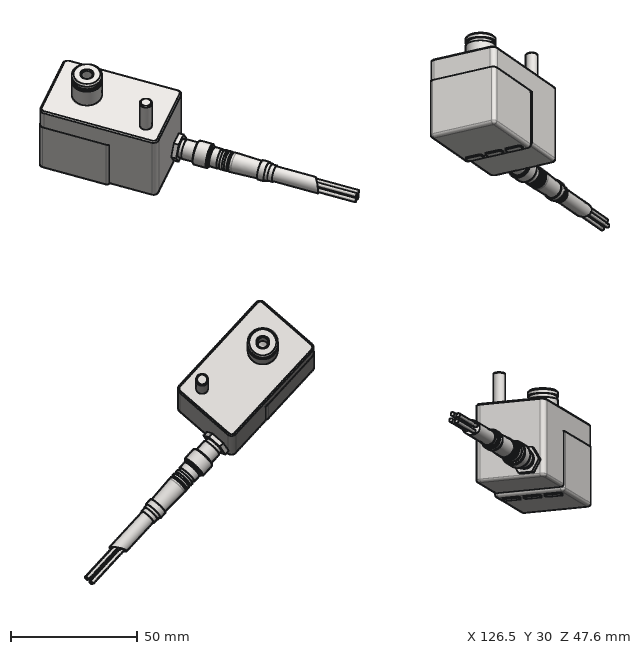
import cadquery as cq
import math


housing_length = 50.0
housing_width = 30.0
housing_top = 33.5
housing_bottom = 1.5
housing_corner_radius = 2.2
housing_top_edge = 0.6
housing_bottom_edge = 1.1

block_length = 29.9
block_top = 24.4
block_corner_radius = 1.5
block_bottom_edge = 1.4

pad_length = 3.0
pad_width = 7.1
pad_height = 0.6
pad_corner_radius = 0.5
pad_pitch = 9.0
pad_x = 26.0
pad_count = 3

hub_x = 14.9
hub_radius = 6.1
hub_height = 11.9
hub_chamfer = 0.8
groove_below_top = 2.2
groove_height = 1.6
bead_inset = 0.3
groove_depth = 0.9
hole_radius = 2.2
hole_chamfer = 0.5
hole_depth = 6.3
drill_point_angle = 118

pin_x = 42.6
pin_y = -7.5
pin_radius = 4.9 / 2
pin_height = 13.5
pin_chamfer = 0.5

cable_y = 7.5
cable_z = 8.1
hex_across_flats = 10.1
hex_thickness = 2.0

neck_radius = 3.8
neck_length = 1.5
grip_radius = 4.0
nut_start = 58.5
nut_end = 64.5
nut_radius = 10.0 / 2
nut_chamfer = 0.4
grip_start = 65.3
grip_grooves = [(68.3, 1.1), (70.6, 0.9), (72.6, 0.8)]
grip_groove_depth = 0.4
taper_start = 74.4
taper_end = 85.5
taper_end_radius = 3.7
collar_length = 2.8
tail_start = 89.7
tail_radius = 3.4
grip_end = 91.6
sheath_radius = 6.2 / 2
sheath_end = 109.3
sheath_cut_angle = 30

wire_count = 4
wire_end = 126.5
wire_radius = 0.82
wire_circle_radius = 1.8
first_wire_angle = 30


def make_rod(x, y, radius, height, chamfer):
    """A rod that stands on the housing, with a chamfered top rim."""
    rod = cq.Workplane("XY", origin=(x, y, housing_top)).circle(radius).extrude(height)
    return rod.faces(">Z").chamfer(chamfer)


def make_hub():
    body = make_rod(hub_x, 0, hub_radius, hub_height, hub_chamfer)
    hub_top = housing_top + hub_height
    groove_top = hub_top - groove_below_top
    groove_bottom = groove_top - groove_height
    groove_section = (
        cq.Workplane("XZ")
        .moveTo(hub_radius, groove_top)
        .lineTo(hub_radius - groove_depth, groove_top)
        .threePointArc(
            (hub_radius - bead_inset, (groove_top + groove_bottom) / 2),
            (hub_radius - groove_depth, groove_bottom),
        )
        .lineTo(hub_radius, groove_bottom)
        .close()
    )
    drill_point = hole_radius / math.tan(math.radians(drill_point_angle / 2))
    hole_floor = hub_top - hole_depth
    hole_section = (
        cq.Workplane("XZ")
        .moveTo(0, hub_top)
        .lineTo(hole_radius + hole_chamfer, hub_top)
        .lineTo(hole_radius, hub_top - hole_chamfer)
        .lineTo(hole_radius, hole_floor)
        .lineTo(0, hole_floor - drill_point)
        .close()
    )
    for section in (groove_section, hole_section):
        cutter = section.revolve(360, (0, 0), (0, 1))
        body = body.cut(cutter.translate((hub_x, 0, 0)))
    return body


def make_hex_outlet():
    across_corners = hex_across_flats / math.cos(math.pi / 6)
    outlet = cq.Workplane("YZ", origin=(housing_length, cable_y, cable_z))
    return outlet.polygon(6, across_corners).extrude(hex_thickness)


def make_housing():
    height = housing_top - housing_bottom
    shell = (
        cq.Workplane("XY", origin=(housing_length / 2, 0, housing_bottom))
        .rect(housing_length, housing_width)
        .extrude(height)
        .edges("|Z")
        .fillet(housing_corner_radius)
    )
    shell = shell.faces(">Z").chamfer(housing_top_edge)
    shell = shell.faces("<Z").edges().fillet(housing_bottom_edge)
    notch = cq.Workplane("XY").box(
        block_length, housing_width, block_top, centered=(False, True, False)
    )
    pin = make_rod(pin_x, pin_y, pin_radius, pin_height, pin_chamfer)
    return shell.cut(notch).union(make_hub()).union(pin).union(make_hex_outlet())


def make_block():
    block = (
        cq.Workplane("XY", origin=(block_length / 2, 0, 0))
        .rect(block_length, housing_width)
        .extrude(block_top)
        .edges("|Z")
        .fillet(block_corner_radius)
    )
    block = block.faces("<Z").edges().fillet(block_bottom_edge)
    pads = (
        cq.Workplane("XY", origin=(pad_x, 0, -pad_height))
        .rarray(1.3, pad_pitch, 1, pad_count)
        .rect(pad_length, pad_width)
        .extrude(pad_height)
        .edges("|Z")
        .fillet(pad_corner_radius)
    )
    return block.union(pads)


def beyond_sheath():
    """The space to the right of the slanted plane in which the sheath ends."""
    reach = wire_end
    return (
        cq.Workplane("XY")
        .box(reach, reach, reach, centered=(False, True, True))
        .rotate((0, 0, 0), (0, 0, 1), sheath_cut_angle)
        .translate((sheath_end, cable_y, cable_z))
    )


def make_cable():
    neck_start = housing_length + hex_thickness
    plug_start = neck_start + neck_length
    floor_radius = grip_radius - grip_groove_depth
    collar_end = taper_end + collar_length
    blank_end = sheath_end + 2 * sheath_radius

    outline = [
        (neck_start, 0),
        (neck_start, neck_radius),
        (plug_start, neck_radius),
        (plug_start, grip_radius),
        (nut_start, grip_radius),
        (nut_start, nut_radius - nut_chamfer),
        (nut_start + nut_chamfer, nut_radius),
        (nut_end - nut_chamfer, nut_radius),
        (nut_end, nut_radius - nut_chamfer),
        (nut_end, floor_radius),
        (grip_start, floor_radius),
        (grip_start, grip_radius),
    ]
    for start, width in grip_grooves:
        outline += [
            (start, grip_radius),
            (start, floor_radius),
            (start + width, floor_radius),
            (start + width, grip_radius),
        ]
    outline += [
        (taper_start, grip_radius),
        (taper_end, taper_end_radius),
        (taper_end, grip_radius),
        (collar_end, grip_radius),
        (collar_end, taper_end_radius),
        (tail_start, taper_end_radius),
        (tail_start, tail_radius),
        (grip_end, tail_radius),
        (grip_end, sheath_radius),
        (blank_end, sheath_radius),
        (blank_end, 0),
    ]
    cable = cq.Workplane("XY").polyline(outline).close().revolve(360, (0, 0), (1, 0))
    return cable.translate((0, cable_y, cable_z)).cut(beyond_sheath())


def make_wire(index):
    angle = math.radians(first_wire_angle + index * 360 / wire_count)
    y = cable_y + wire_circle_radius * math.cos(angle)
    z = cable_z + wire_circle_radius * math.sin(angle)
    start = sheath_end - 2 * sheath_radius
    wire = cq.Workplane("YZ", origin=(start, y, z)).circle(wire_radius).extrude(wire_end - start)
    return wire.intersect(beyond_sheath())


housing = make_housing()
block = make_block()
cable = make_cable()
wires = [make_wire(index) for index in range(wire_count)]

result = cq.Compound.makeCompound(
    [housing.val(), block.val(), cable.val(), *[wire.val() for wire in wires]]
)